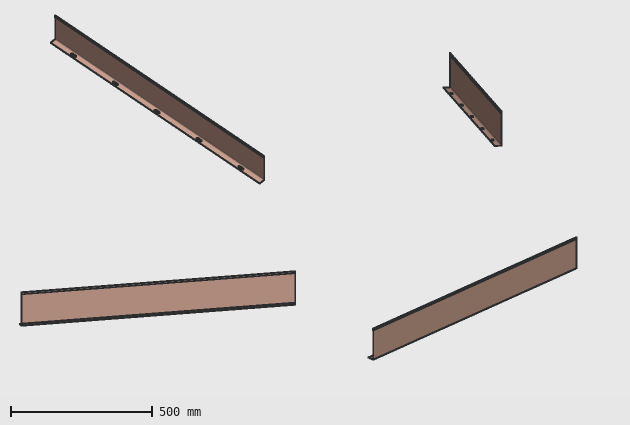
import cadquery as cq
import math

length = 1000.0
depth = 25.0
height = 125.0
sheet = 1.0

bend_inner_radius = 0.5
bend_outer_radius = bend_inner_radius + sheet

hem_drop = 8.0
hem_gap = 0.1
hem_outer_radius = sheet + hem_gap / 2

slot_count = 5
slot_pitch = 200.0
slot_length = 22.0
slot_width = 6.5
slot_from_front = 11.0


def folded_profile():
    """Section in the YZ plane: bottom flange, web at the back and a hem at the top."""
    web_front = depth - sheet

    bend_y = depth - bend_outer_radius
    bend_z = bend_outer_radius
    outer_offset = bend_outer_radius * math.sqrt(0.5)
    inner_offset = bend_inner_radius * math.sqrt(0.5)

    fold_y = depth - hem_outer_radius
    fold_z = height - hem_outer_radius
    hem_front = depth - 2 * hem_outer_radius
    hem_back = hem_front + sheet
    hem_bottom = height - hem_drop

    return (
        cq.Workplane("YZ")
        .moveTo(0, 0)
        .lineTo(bend_y, 0)
        .threePointArc((bend_y + outer_offset, bend_z - outer_offset), (depth, bend_z))
        .lineTo(depth, fold_z)
        .threePointArc((fold_y, height), (hem_front, fold_z))
        .lineTo(hem_front, hem_bottom)
        .lineTo(hem_back, hem_bottom)
        .lineTo(hem_back, fold_z)
        .threePointArc((fold_y, height - sheet), (web_front, fold_z))
        .lineTo(web_front, bend_z)
        .threePointArc((bend_y + inner_offset, bend_z - inner_offset), (bend_y, sheet))
        .lineTo(0, sheet)
        .close()
    )


def flange_slots():
    """Row of round-ended through slots, centred along the flange."""
    return (
        cq.Workplane("XY")
        .center(length / 2, slot_from_front)
        .rarray(slot_pitch, 1, slot_count, 1)
        .slot2D(slot_length, slot_width)
        .extrude(sheet)
    )


result = folded_profile().extrude(length).cut(flange_slots())